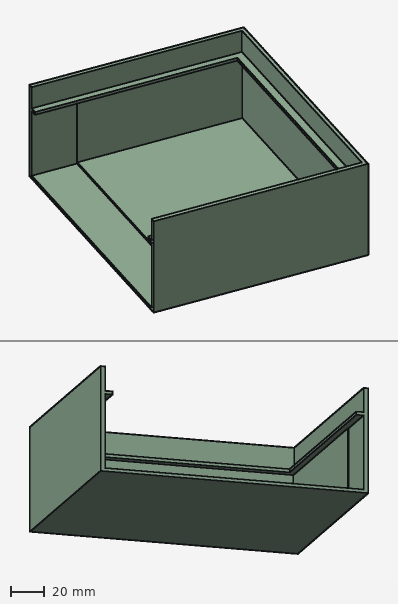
import cadquery as cq

width = 167.5
depth = 143.0
height = 65.0

side_wall = 3.0
back_wall = 3.0
floor = 2.0
back_edge_radius = 0.7

ledge_drop = 15.0
ledge_thickness = 2.0
side_ledge_width = 4.5
back_ledge_width = 5.4

front_bay_depth = 30.2
liner_side = 0.5
liner_floor = 1.2

ledge_top = height - ledge_drop
ledge_bottom = ledge_top - ledge_thickness
inner_width = width - 2 * side_wall
inner_depth = depth - back_wall


def block(size_x, front, back, bottom, top):
    """Box centred on X, spanning the given Y and Z limits."""
    return (
        cq.Workplane("XY")
        .box(size_x, back - front, top - bottom, centered=(True, False, False))
        .translate((0, front, bottom))
    )


def make_shell():
    """Floor, sides and back; the top and front are open."""
    outer = block(width, 0, depth, 0, height)
    outer = outer.faces(">Y").edges("|X").fillet(back_edge_radius)
    return outer.cut(block(inner_width, 0, inner_depth, floor, height))


def make_ledge():
    """U-shaped ledge with its front ends flush with the side walls."""
    opening_width = inner_width - 2 * side_ledge_width
    opening_back = inner_depth - back_ledge_width
    ledge = block(inner_width, 0, inner_depth, ledge_bottom, ledge_top)
    return ledge.cut(block(opening_width, 0, opening_back, ledge_bottom, ledge_top))


def make_liner():
    """Thin layer on the floor and sides, below the ledge."""
    liner = block(inner_width, front_bay_depth, inner_depth, floor, ledge_bottom)
    cavity_width = inner_width - 2 * liner_side
    cavity_bottom = floor + liner_floor
    return liner.cut(block(cavity_width, front_bay_depth, inner_depth, cavity_bottom, ledge_bottom))


result = make_shell().union(make_ledge()).union(make_liner())